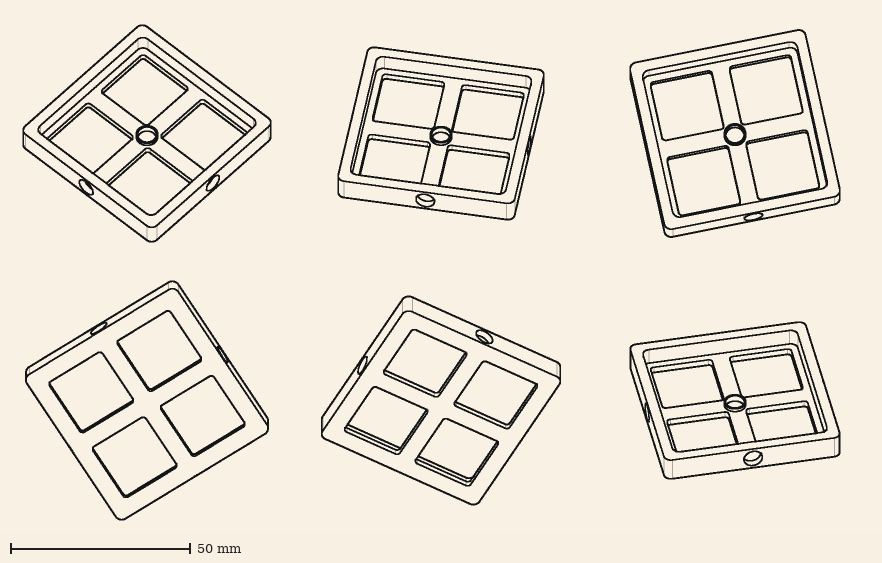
import cadquery as cq

SIDE = 50.0
HEIGHT = 7.0
WALL = 3.0
CORNER_RADIUS = 2.0
FLOOR = 2.0

WINDOW_CORNER_RADIUS = 1.0
LEDGE = 2.0
RIB_WIDTH = 5.0

MAGNET_DIAMETER = 5.2
SIDE_POCKET_DEPTH = 2.0
BOSS_DIAMETER = 6.0
BOSS_HEIGHT = 1.0
BOSS_POCKET_DEPTH = 2.0

INNER_SIDE = SIDE - 2 * WALL
WINDOW_FIELD = INNER_SIDE - 2 * LEDGE
WINDOW_SIDE = (WINDOW_FIELD - RIB_WIDTH) / 2
WINDOW_PITCH = WINDOW_SIDE + RIB_WIDTH
BOSS_TOP = FLOOR + BOSS_HEIGHT
SIDE_COUNT = 4


def rounded_block(side, height, radius, bottom=0.0):
    """Square block centred on Z with rounded vertical edges."""
    block = cq.Workplane("XY").box(side, side, height, centered=(True, True, False))
    return block.edges("|Z").fillet(radius).translate((0, 0, bottom))


def tray():
    """Walled square with a thin floor."""
    outside = rounded_block(SIDE, HEIGHT, CORNER_RADIUS)
    inside = rounded_block(INNER_SIDE, HEIGHT - FLOOR, CORNER_RADIUS, FLOOR)
    return outside.cut(inside)


def cut_windows(body):
    """Open one window in each quarter of the floor."""
    window = rounded_block(WINDOW_SIDE, FLOOR, WINDOW_CORNER_RADIUS)
    offset = WINDOW_PITCH / 2
    for x in (-offset, offset):
        for y in (-offset, offset):
            body = body.cut(window.translate((x, y, 0)))
    return body


def add_centre_boss(body):
    """Raise a boss where the ribs cross and sink a blind pocket into it."""
    boss = cq.Workplane("XY").circle(BOSS_DIAMETER / 2).extrude(BOSS_TOP)
    pocket = (
        cq.Workplane("XY")
        .workplane(offset=BOSS_TOP - BOSS_POCKET_DEPTH)
        .circle(MAGNET_DIAMETER / 2)
        .extrude(BOSS_POCKET_DEPTH)
    )
    return body.union(boss).cut(pocket)


def cut_side_pockets(body):
    """Sink a blind pocket into the middle of each outer wall."""
    pocket = (
        cq.Workplane("XZ", origin=(0, -SIDE / 2, HEIGHT / 2))
        .circle(MAGNET_DIAMETER / 2)
        .extrude(-SIDE_POCKET_DEPTH)
    )
    for index in range(SIDE_COUNT):
        body = body.cut(pocket.rotate((0, 0, 0), (0, 0, 1), index * 360 / SIDE_COUNT))
    return body


result = cut_side_pockets(add_centre_boss(cut_windows(tray())))